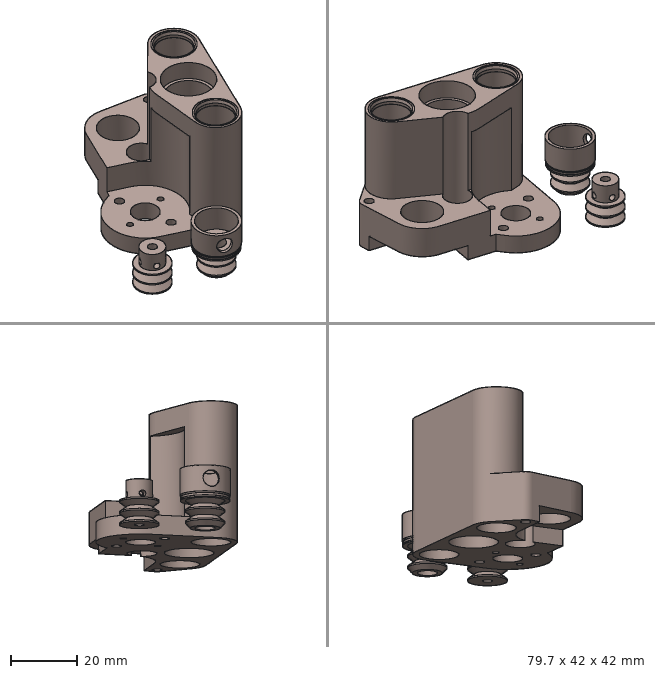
import cadquery as cq
import math

plate_top = 6.0
base_top = 15.0
pocket_top = 35.05
tower_top = 42.0

tower_end_radius = 8.0
tower_belly_radius = 12.4
base_corner_radius = 10.0
ear_radius = 2.99
motor_radius = 13.45

right_side = 58.4
back_side = tower_top

tube_y = back_side - tower_end_radius
left_tube = (13.45, tube_y)
right_tube = (right_side - tower_end_radius, tube_y)
center_bore = (31.9, 32.0)
base_bore = (left_tube[0], 16.0)
shaft_bore = (27.4, 18.5)
ear_hole = (ear_radius, 29.6)
motor = (right_side - motor_radius, motor_radius)
base_front = base_bore[1] - base_corner_radius
motor_left = motor[0] - motor_radius

tube_diameter = 11.95
tube_step_diameter = 14.0
tube_step_depth = 0.15
tube_cone_diameter = 12.9
tube_cone_depth = 0.95
tube_neck_diameter = 12.1
tube_neck_depth = 2.1
center_diameter = 15.0
center_recess_diameter = 17.05
center_recess_depth = plate_top
base_bore_diameter = 13.0
shaft_bore_diameter = 9.0
motor_bore_diameter = 9.0
screw_diameter = 3.0
screw_offset = (7.7, 5.5)
pin_diameter = 2.0
pin_offset = (4.5, -6.5)

recess_height = 5.0
recess_back = base_bore[1] + base_corner_radius

pulley_x = 72.0
rim_radius = 6.0
rim_width = 0.5
groove_bottom_radius = 4.0
groove_pitch = 3.5
groove_half_width = (groove_pitch - rim_width) / 2

hub_pulley_y = rim_radius
hub_rim_count = 3
hub_radius = 4.1
hub_top = 13.45
hub_bore_diameter = 2.95
hub_screw_diameter = 2.0
hub_screw_height = 9.0

cup_y = 26.5
cup_radius = 79.65 - pulley_x
cup_inner_radius = 6.6
cup_top = 18.0
cup_floor = 10.0
cup_bottom = 8.4
cup_flange_radius = 7.5
cup_band_radius = 7.3
cup_band_bottom = 8.85
cup_band_top = 9.55
cup_end_radius = 4.5
cup_bore_radius = 3.0
cup_window_diameter = 5.0
cup_window_height = (cup_top + cup_floor) / 2
cup_rim_count = 2
cup_first_rim = groove_half_width


def on_circle(center, radius, angle):
    return (center[0] + radius * math.cos(angle), center[1] + radius * math.sin(angle))


def belt(circles, bottom, top):
    """Prism whose outline is a taut belt around (center, radius) circles listed anticlockwise."""
    count = len(circles)
    normals = []
    for i in range(count):
        (ax, ay), a_radius = circles[i]
        (bx, by), b_radius = circles[(i + 1) % count]
        heading = math.atan2(by - ay, bx - ax)
        tilt = math.acos((a_radius - b_radius) / math.hypot(bx - ax, by - ay))
        normals.append(heading - tilt)

    center, radius = circles[0]
    outline = cq.Workplane("XY").workplane(offset=bottom).moveTo(*on_circle(center, radius, normals[0]))
    for i in range(count):
        center, radius = circles[(i + 1) % count]
        start = normals[i]
        turn = (normals[(i + 1) % count] - start) % (2 * math.pi)
        outline = outline.lineTo(*on_circle(center, radius, start))
        middle = on_circle(center, radius, start + turn / 2)
        outline = outline.threePointArc(middle, on_circle(center, radius, start + turn))
    return outline.close().extrude(top - bottom)


def disc(center, diameter, bottom, top):
    return cq.Workplane("XY").workplane(offset=bottom).center(*center).circle(diameter / 2).extrude(top - bottom)


def block(x_range, y_range, z_range):
    size = [end - start for start, end in (x_range, y_range, z_range)]
    corner = (x_range[0], y_range[0], z_range[0])
    return cq.Workplane("XY").box(*size, centered=False).translate(corner)


def turned(profile, center):
    """Solid of revolution about a vertical axis from (radius, height) points."""
    solid = cq.Workplane("XZ").polyline(profile).close().revolve(360, (0, 0, 0), (0, 1, 0))
    return solid.translate((center[0], center[1], 0))


def make_tower():
    circles = [(left_tube, tower_end_radius), (center_bore, tower_belly_radius), (right_tube, tower_end_radius)]
    return belt(circles, 0, tower_top)


def make_base(top):
    front_right = (motor[0], base_bore[1])
    circles = [
        (ear_hole, ear_radius),
        (base_bore, base_corner_radius),
        (front_right, base_corner_radius),
        (left_tube, tower_end_radius),
    ]
    return belt(circles, 0, top)


def make_motor_flange():
    flange = belt([(motor, motor_radius), (right_tube, tower_end_radius)], 0, plate_top)
    tangent = on_circle(motor, motor_radius, math.radians(225))
    front_corner = (tangent[0] + tangent[1] - base_front, base_front)
    blend = cq.Workplane("XY").polyline([tangent, motor, front_corner]).close().extrude(plate_top)
    return flange.union(blend)


def make_motor_pocket():
    front = block((motor_left, right_side), (0, motor[1]), (plate_top, pocket_top))
    return disc(motor, 2 * motor_radius, plate_top, pocket_top).union(front)


def make_underside_recess():
    end = base_bore[0] + base_corner_radius
    left = block((0, base_bore[0]), (0, recess_back), (0, recess_height))
    front = block((0, end), (0, base_bore[1]), (0, recess_height))
    return left.union(front).union(disc(base_bore, 2 * base_corner_radius, 0, recess_height))


def make_tube_cutter(center):
    bore = tube_diameter / 2
    neck = tube_neck_diameter / 2
    step = tube_step_diameter / 2
    step_floor = tower_top - tube_step_depth
    profile = [
        (0, 0),
        (bore, 0),
        (bore, tower_top - tube_neck_depth),
        (neck, tower_top - tube_neck_depth),
        (neck, step_floor - tube_cone_depth),
        (tube_cone_diameter / 2, step_floor),
        (step, step_floor),
        (step, tower_top),
        (0, tower_top),
    ]
    return turned(profile, center)


def make_housing():
    body = make_tower().union(make_base(base_top)).cut(make_motor_pocket())
    body = body.union(make_motor_flange()).cut(make_underside_recess())

    for center in (left_tube, right_tube):
        body = body.cut(make_tube_cutter(center))
    body = body.cut(disc(center_bore, center_recess_diameter, tower_top - center_recess_depth, tower_top))

    holes = [
        (center_bore, center_diameter),
        (base_bore, base_bore_diameter),
        (shaft_bore, shaft_bore_diameter),
        (ear_hole, screw_diameter),
        (motor, motor_bore_diameter),
    ]
    for side in (-1, 1):
        holes.append(((motor[0] + side * screw_offset[0], motor[1] + side * screw_offset[1]), screw_diameter))
        holes.append(((motor[0] + side * pin_offset[0], motor[1] + side * pin_offset[1]), pin_diameter))
    for center, diameter in holes:
        body = body.cut(disc(center, diameter, 0, tower_top))
    return body


def rim_points(bottom):
    return [(rim_radius, bottom), (rim_radius, bottom + rim_width)]


def groove_point(rim_bottom):
    """Deepest point of the groove above the rim that starts at rim_bottom."""
    return (groove_bottom_radius, rim_bottom + rim_width + groove_half_width)


def make_hub_pulley():
    profile = [(0, 0)]
    for i in range(hub_rim_count):
        profile += rim_points(i * groove_pitch)
        if i < hub_rim_count - 1:
            profile.append(groove_point(i * groove_pitch))
    shoulder = (hub_rim_count - 1) * groove_pitch + rim_width
    profile += [(hub_radius, shoulder), (hub_radius, hub_top), (0, hub_top)]
    center = (pulley_x, hub_pulley_y)
    pulley = turned(profile, center).cut(disc(center, hub_bore_diameter, 0, hub_top))

    for plane in ("XZ", "YZ"):
        screw = cq.Workplane(plane).circle(hub_screw_diameter / 2).extrude(hub_radius * 2, both=True)
        pulley = pulley.cut(screw.translate((*center, hub_screw_height)))
    return pulley


def make_cup():
    profile = [(cup_bore_radius, 0), (cup_end_radius, 0)]
    for i in range(cup_rim_count):
        rim_bottom = cup_first_rim + i * groove_pitch
        profile += rim_points(rim_bottom)
        profile.append(groove_point(rim_bottom))
    profile += [
        (rim_radius, cup_bottom),
        (cup_flange_radius, cup_bottom),
        (cup_flange_radius, cup_band_bottom),
        (cup_band_radius, cup_band_bottom),
        (cup_band_radius, cup_band_top),
        (cup_flange_radius, cup_band_top),
        (cup_flange_radius, cup_floor),
        (cup_radius, cup_floor),
        (cup_radius, cup_top),
        (cup_inner_radius, cup_top),
        (cup_inner_radius, cup_floor),
        (cup_bore_radius, cup_floor),
    ]
    window = cq.Workplane("YZ").circle(cup_window_diameter / 2).extrude(2 * cup_radius)
    return turned(profile, (pulley_x, cup_y)).cut(window.translate((pulley_x, cup_y, cup_window_height)))


housing = make_housing()
hub_pulley = make_hub_pulley()
cup = make_cup()

result = cq.Compound.makeCompound([housing.val(), hub_pulley.val(), cup.val()])